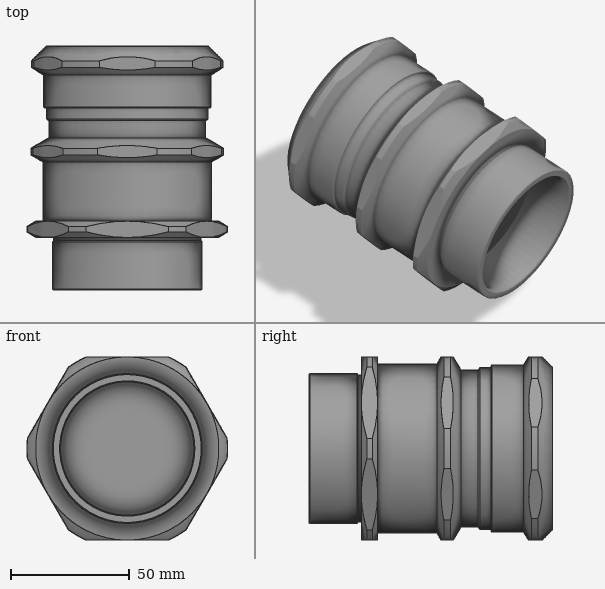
import cadquery as cq
import math

total_length = 102.4
across_flats = 77.0
across_corners = across_flats / math.cos(math.pi / 6)

spigot_dia = 63.0
spigot_end = 20.2
neck_dia = 62.0
neck_start = 20.7
bore_dia = 56.0
bore_depth = 20.5
edge_chamfer = 0.4

flange_start = 22.0
flange_end = 28.9
flange_rim_start = 24.4
flange_rim_end = 26.6
flange_corner_dia = 84.4

body_dia = 70.9
body_end = 53.8
middle_rim_start = 56.7
middle_rim_end = 59.5
middle_corner_dia = 81.0
middle_end = 63.9

waist_dia = 66.0
waist_end = 71.1
collar_start = 71.9
collar_dia = 68.0
collar_end = 76.5

nut_dia = 70.4
nut_sleeve_end = 90.2
nut_rim_start = 93.5
nut_rim_end = 96.3
nut_corner_dia = 80.5
nut_face_dia = 68.1


def revolved(stations):
    """Solid of revolution about Y through (diameter, Y) stations."""
    outline = [(dia / 2, y) for dia, y in stations]
    outline = [(0, stations[0][1])] + outline + [(0, stations[-1][1])]
    return cq.Workplane("XY").polyline(outline).close().revolve(360, (0, 0), (0, 1))


def hexagon_collar(stations):
    """Turned collar cut to a hexagon with flats at top and bottom."""
    start = stations[0][1]
    length = stations[-1][1] - start
    prism = (
        cq.Workplane("XZ", origin=(0, start, 0))
        .polygon(6, across_corners)
        .extrude(-length)
    )
    return revolved(stations).intersect(prism)


core = revolved([
    (spigot_dia - 2 * edge_chamfer, 0),
    (spigot_dia, edge_chamfer),
    (spigot_dia, spigot_end),
    (neck_dia, neck_start),
    (neck_dia, flange_start),
    (body_dia, flange_start),
    (body_dia, body_end),
    (waist_dia, body_end),
    (waist_dia, waist_end),
    (collar_dia, collar_start),
    (collar_dia, collar_end),
    (nut_dia - 2 * edge_chamfer, collar_end),
    (nut_dia, collar_end + edge_chamfer),
    (nut_dia, nut_sleeve_end),
])

flange = hexagon_collar([
    (across_flats, flange_start),
    (flange_corner_dia, flange_rim_start),
    (flange_corner_dia, flange_rim_end),
    (across_flats, flange_end),
])

middle_hexagon = hexagon_collar([
    (body_dia, body_end),
    (middle_corner_dia, middle_rim_start),
    (middle_corner_dia, middle_rim_end),
    (waist_dia, middle_end),
])

nut_hexagon = hexagon_collar([
    (nut_dia, nut_sleeve_end),
    (nut_corner_dia, nut_rim_start),
    (nut_corner_dia, nut_rim_end),
    (nut_face_dia, total_length),
])

bore = revolved([
    (bore_dia + 2 * edge_chamfer, 0),
    (bore_dia, edge_chamfer),
    (bore_dia, bore_depth),
])

result = core.union(flange).union(middle_hexagon).union(nut_hexagon).cut(bore)